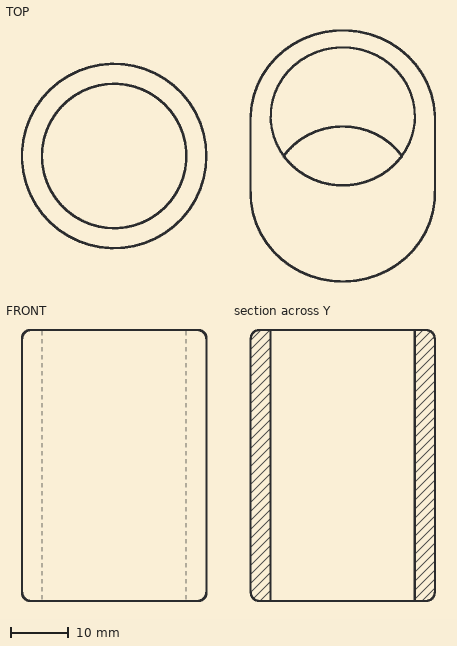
import cadquery as cq

length = 47.0
outer_diameter = 32.0
bore_diameter = 25.0
rim_fillet = 1.5

body = cq.Workplane("XY").cylinder(length, outer_diameter / 2)
body = body.faces("<Z or >Z").edges().fillet(rim_fillet)

result = body.faces(">Z").workplane().hole(bore_diameter)